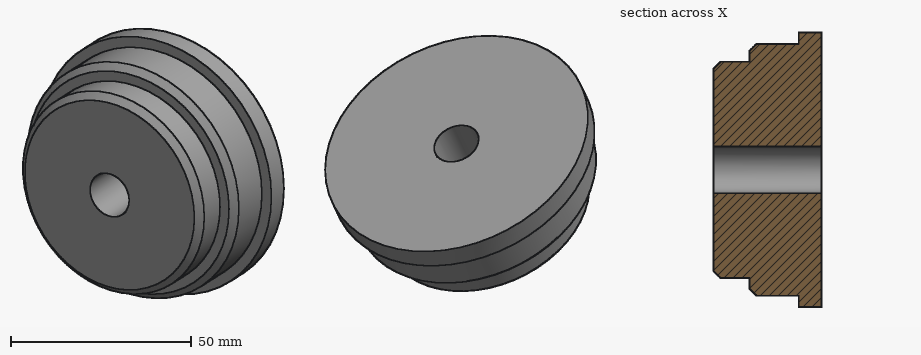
import cadquery as cq

flange_diameter = 76.2
body_diameter = 69.9
nose_diameter = 60.0
bore_diameter = 12.9

total_length = 30.0
flange_length = 6.4
nose_length = 10.0
body_length = total_length - flange_length - nose_length
chamfer = 2.0


def disc(diameter, length):
    """Disc on the Y axis, running from Y = 0 toward -Y."""
    return cq.Workplane("XZ").circle(diameter / 2).extrude(length)


def chamfered_step(diameter, length, start):
    """Disc with its -Y rim chamfered, starting at a distance behind Y = 0."""
    step = disc(diameter, length).faces("<Y").edges().chamfer(chamfer)
    return step.translate((0, -start, 0))


flange = disc(flange_diameter, flange_length)
body = chamfered_step(body_diameter, body_length, flange_length)
nose = chamfered_step(nose_diameter, nose_length, flange_length + body_length)

bore = disc(bore_diameter, total_length)

result = flange.union(body).union(nose).cut(bore)